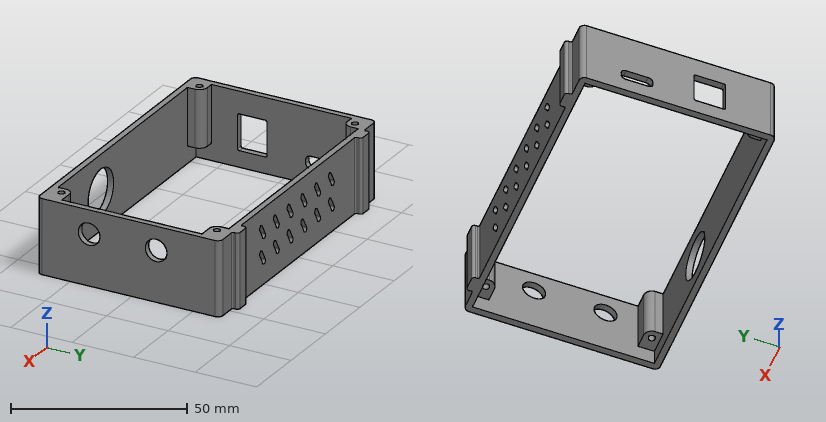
import cadquery as cq

length = 90.9
depth_with_tabs = 61.6
height = 24.0
tab_reach = 2.0
depth = depth_with_tabs - tab_reach
wall = 2.0
corner_radius = 1.6
cut_depth = 3 * wall

post_reach = 7.0
right_post_extra = 1.7
post_height = 18.5
screw_inset = 4.5
screw_diameter = 2.0
post_radius = post_reach - screw_inset

tab_width = 5.0
tab_centre_x = 35.8
tab_tip_radius = 0.9
tab_root_radius = 0.55

front_hole_x = 11.9
front_hole_diameter = 14.7
side_hole_diameter = 7.0
side_hole_centres_y = (16.9, 38.7)
side_hole_z = 16.4

slot_window = {"width": 9.6, "height": 3.9, "radius": 1.5, "y": 42.5, "bottom": 5.0}
square_window = {"width": 9.55, "height": 11.55, "radius": 0.55, "y": 20.3, "bottom": 5.3}

vent_columns = 6
vent_rows = 2
vent_pitch = 8.0
vent_width = 1.6
vent_length = 5.2
vent_tilt = 60.0
vent_centre_x = 0.7
vent_centre_z = 12.6


def make_walls():
    outer = (
        cq.Workplane("XY")
        .box(length, depth, height, centered=(True, False, False))
        .edges("|Z")
        .fillet(corner_radius)
    )
    cavity = (
        cq.Workplane("XY")
        .center(0, depth / 2)
        .rect(length - 2 * wall, depth - 2 * wall)
        .extrude(height)
    )
    return outer.cut(cavity)


def make_post(side_x, side_y):
    """Post in the corner given by the signs side_x and side_y, hanging from the top edge."""
    overlap = wall / 2
    size_y = post_reach - overlap
    size_x = size_y + (right_post_extra if side_x > 0 else 0)
    inner_edge = ("<X" if side_x > 0 else ">X", "<Y" if side_y > 0 else ">Y")
    return (
        cq.Workplane("XY")
        .box(size_x, size_y, post_height, centered=(True, True, False))
        .faces(inner_edge[0])
        .edges(inner_edge[1])
        .fillet(post_radius)
        .translate((
            side_x * (length / 2 - overlap - size_x / 2),
            depth / 2 + side_y * (depth / 2 - overlap - size_y / 2),
            height - post_height,
        ))
    )


def make_tab(centre_x):
    """Full-height tab with a rounded tip and fillets where it meets the back face."""
    embed = wall / 2
    half = tab_width / 2
    root = half + tab_root_radius
    tip = depth + tab_reach
    return (
        cq.Workplane("XY")
        .moveTo(-root, depth - embed)
        .lineTo(-root, depth)
        .radiusArc((-half, depth + tab_root_radius), -tab_root_radius)
        .lineTo(-half, tip - tab_tip_radius)
        .radiusArc((-half + tab_tip_radius, tip), tab_tip_radius)
        .lineTo(half - tab_tip_radius, tip)
        .radiusArc((half, tip - tab_tip_radius), tab_tip_radius)
        .lineTo(half, depth + tab_root_radius)
        .radiusArc((root, depth), -tab_root_radius)
        .lineTo(root, depth - embed)
        .close()
        .extrude(height)
        .translate((centre_x, 0, 0))
    )


def make_screw_holes():
    return (
        cq.Workplane("XY")
        .center(-right_post_extra / 2, depth / 2)
        .rect(length - 2 * screw_inset - right_post_extra, depth - 2 * screw_inset, forConstruction=True)
        .vertices()
        .circle(screw_diameter / 2)
        .extrude(height)
    )


def make_window(window):
    return (
        cq.Workplane("XY")
        .box(cut_depth, window["width"], window["height"], centered=(True, True, False))
        .edges("|X")
        .fillet(window["radius"])
        .translate((-length / 2, window["y"], window["bottom"]))
    )


def make_front_hole():
    return (
        cq.Workplane("XZ", origin=(front_hole_x, 0, height / 2))
        .circle(front_hole_diameter / 2)
        .extrude(cut_depth, both=True)
    )


def make_side_holes():
    return (
        cq.Workplane("YZ", origin=(length / 2, 0, side_hole_z))
        .pushPoints([(y, 0) for y in side_hole_centres_y])
        .circle(side_hole_diameter / 2)
        .extrude(cut_depth, both=True)
    )


def make_vents():
    return (
        cq.Workplane("XZ", origin=(vent_centre_x, depth - cut_depth, vent_centre_z))
        .rarray(vent_pitch, vent_pitch, vent_columns, vent_rows)
        .slot2D(vent_length, vent_width, vent_tilt)
        .extrude(-2 * cut_depth)
    )


result = make_walls()
for side_x in (-1, 1):
    result = result.union(make_tab(side_x * tab_centre_x))
    for side_y in (-1, 1):
        result = result.union(make_post(side_x, side_y))
result = result.cut(make_screw_holes())
result = result.cut(make_front_hole())
result = result.cut(make_side_holes())
result = result.cut(make_vents())
for window in (slot_window, square_window):
    result = result.cut(make_window(window))